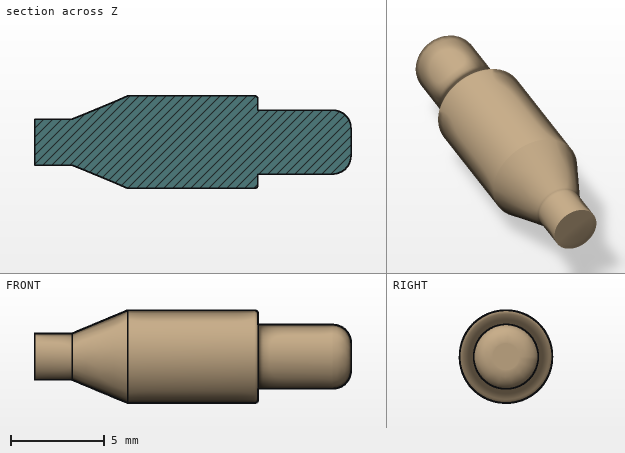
import cadquery as cq

total_length = 17.0
stem_length = 2.0
stem_diameter = 2.5
cone_length = 3.0
body_length = 7.0
body_diameter = 5.0
body_edge_radius = 0.2
pin_diameter = 3.47
pin_tip_radius = 1.0

cone_end = stem_length + cone_length
body_end = cone_end + body_length
pin_length = total_length - body_end


def cylinder(start, length, diameter):
    """Round bar along +X whose first end face is at the given start."""
    return cq.Workplane("YZ", origin=(start, 0, 0)).circle(diameter / 2).extrude(length)


def cone():
    """Taper from the stem diameter up to the body diameter."""
    return cq.Workplane("XY").add(
        cq.Solid.makeCone(
            stem_diameter / 2,
            body_diameter / 2,
            cone_length,
            pnt=cq.Vector(stem_length, 0, 0),
            dir=cq.Vector(1, 0, 0),
        )
    )


stem = cylinder(0, stem_length, stem_diameter)

body = cylinder(cone_end, body_length, body_diameter)
body = body.faces(">X").edges().fillet(body_edge_radius)

pin = cylinder(body_end, pin_length, pin_diameter)
pin = pin.faces(">X").edges().fillet(pin_tip_radius)

result = stem.union(cone()).union(body).union(pin)